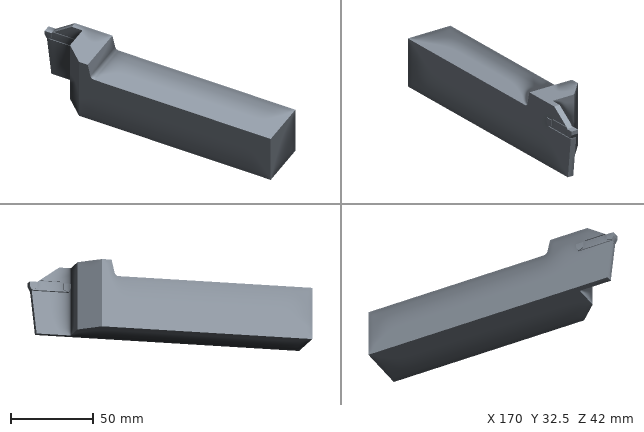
import cadquery as cq


overall_length = 170.0
shank_width = 32.0
shank_height = 32.0
head_height = 42.0
head_start_x = 25.8
chamfer_length = 12.4
chamfer_depth = 11.7
head_top_start_x = 18.5
head_top_end_x = 44.2
head_step_x = 46.5
step_fillet = 2.5

blade_thickness = 4.0
blade_foot_x = 4.5
blade_tip_x = 1.4
blade_corner_fillet = 0.8
jaw_nose_x = 7.5
jaw_nose_height = 34.2

insert_length = head_start_x
insert_top = 32.1
insert_bottom = 27.0
insert_overhang = 0.5
tip_relief_height = 29.5
tip_relief_x = 1.4
tip_length = 4.8
tip_corner_height = 28.2
tip_heel_x = 2.0
clamp_start_x = 6.1
clamp_height = 33.2
clamp_bevel = 0.5
keel_height = 1.0
keel_width = 1.5
seat_gap = 0.5

seat_floor = insert_bottom - seat_gap
blade_middle_y = -blade_thickness / 2


def extrude_side_profile(points, back_y, width):
    """Extrude an XZ outline from back_y toward -Y."""
    return cq.Workplane("XZ", origin=(0, back_y, 0)).polyline(points).close().extrude(width)


def mirror_to_rear(body):
    """Copy a front-end body to the other end of the insert."""
    return body.mirror("YZ", (insert_length / 2, 0, 0))


def insert_outline(bottom):
    """Symmetric side outline of the insert, with a chosen bottom height."""
    front_end = [
        (tip_relief_x, bottom),
        (0, tip_relief_height),
        (0, insert_top),
        (tip_length, insert_top),
        (clamp_start_x, clamp_height),
    ]
    rear_end = [(insert_length - x, z) for x, z in reversed(front_end)]
    return front_end + rear_end


def make_insert():
    shank = extrude_side_profile(insert_outline(insert_bottom), 0, blade_thickness)

    shank = shank.faces(">Z").edges("|X").chamfer(clamp_bevel)

    keel_bottom = insert_bottom - keel_height
    keel = (
        cq.Workplane("YZ", origin=(tip_relief_x, 0, 0))
        .polyline([
            (0, insert_bottom),
            (-blade_thickness, insert_bottom),
            (blade_middle_y - keel_width / 2, keel_bottom),
            (blade_middle_y + keel_width / 2, keel_bottom),
        ])
        .close()
        .extrude(insert_length - 2 * tip_relief_x)
    )

    tip = extrude_side_profile(
        [
            (0, insert_top),
            (0, tip_relief_height),
            (tip_relief_x, insert_bottom),
            (tip_heel_x, insert_bottom),
            (tip_length, tip_corner_height),
            (tip_length, insert_top),
        ],
        insert_overhang,
        blade_thickness + 2 * insert_overhang,
    )
    return shank.union(keel).union(tip).union(mirror_to_rear(tip))


def make_holder(insert):
    body = extrude_side_profile(
        [
            (blade_foot_x, 0),
            (overall_length, 0),
            (overall_length, shank_height),
            (head_step_x, shank_height),
            (head_top_end_x, head_height),
            (head_top_start_x, head_height),
            (jaw_nose_x, jaw_nose_height),
            (clamp_start_x, clamp_height),
            (clamp_start_x, seat_floor),
            (blade_tip_x, seat_floor),
        ],
        0,
        shank_width,
    )
    step_corner = cq.selectors.NearestToPointSelector((head_step_x, -shank_width / 2, shank_height))
    body = body.edges("|Y").edges(step_corner).fillet(step_fillet)

    plan = (
        cq.Workplane("XY")
        .polyline([
            (0, 0),
            (overall_length, 0),
            (overall_length, -shank_width),
            (head_start_x + chamfer_length, -shank_width),
            (head_start_x, -shank_width + chamfer_depth),
            (head_start_x, -blade_thickness),
            (0, -blade_thickness),
        ])
        .close()
        .extrude(head_height)
    )
    blade_corner = cq.selectors.NearestToPointSelector(
        (head_start_x, -blade_thickness, head_height / 2)
    )
    plan = plan.edges("|Z").edges(blade_corner).fillet(blade_corner_fillet)
    body = body.intersect(plan)

    seat = extrude_side_profile(insert_outline(seat_floor), 0, blade_thickness)
    return body.cut(seat).cut(insert)


insert = make_insert()
holder = make_holder(insert)
result = cq.Compound.makeCompound([holder.solids().val(), insert.solids().val()])